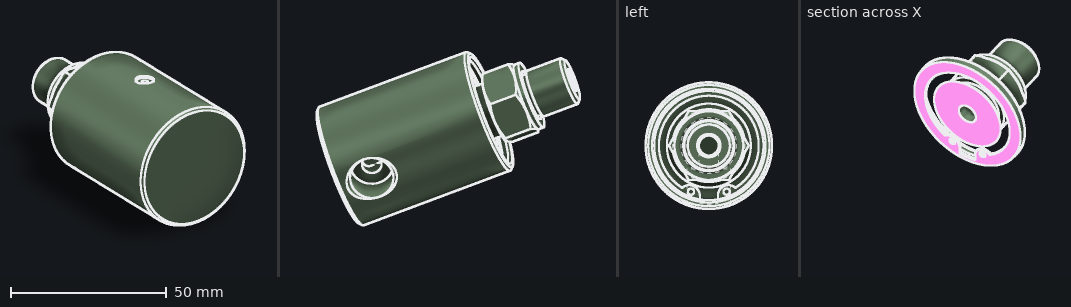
import cadquery as cq
import math

overall_length = 80.8

stub_diameter = 15.75
stub_tip_chamfer = 1.1
stub_end = 12.8
runout_diameter = 14.95
runout_end = 13.25
undercut_rim_diameter = 16.5
undercut_floor_diameter = 13.9
undercut_floor_x = 14.4
undercut_end = 15.1
undercut_end_diameter = 14.2
collar_diameter = 22.2
collar_start = 14.1
hex_start = 15.9
hex_end = 26.9
hex_across_flats = 22.2
hex_across_corners = hex_across_flats / math.cos(math.pi / 6)
hex_chamfer_angle = 30.0
hex_face_diameter = 21.8
shaft_diameter = 17.9

bore_diameter = 6.4
bore_mouth_chamfer = 0.6
bore_end = 73.5

housing_diameter = 40.7
housing_start = 28.3
housing_chamfer = 0.9

ring_inner_diameter = 32.1
ring_thickness = 1.2
ring_setback = 2.8
groove_diameter = 37.55
lug_radius = 3.4
lug_offset_y = 6.3
lug_offset_z = -16.1
lug_hole_diameter = 2.0
lug_hole_offset_y = 5.7
lug_hole_offset_z = -14.8

recess_diameter = 35.05
recess_depth = ring_setback + ring_thickness
recess_mouth_diameter = 36.5
recess_mouth_length = 1.05
boss_base_diameter = 27.0
boss_face_diameter = 23.4
boss_height = 1.6

vent_x = 52.9
vent_diameter = 6.0
vent_depth = 0.8
button_diameter = 2.0
button_height = 0.25
dome_radius = (button_diameter**2 / 4 + button_height**2) / (2 * button_height)

port_x = 69.5
port_diameter = 13.9
port_mouth_diameter = 16.5
port_depth = 12.9


def disc(diameter, start, end):
    """Cylinder on the X axis between two X positions."""
    return cq.Workplane("YZ", origin=(start, 0, 0)).circle(diameter / 2).extrude(end - start)


def cone(start_diameter, end_diameter, start, end):
    """Truncated cone on the X axis between two X positions."""
    outline = [(start, 0), (start, start_diameter / 2), (end, end_diameter / 2), (end, 0)]
    return cq.Workplane("XY").polyline(outline).close().revolve(360, (0, 0, 0), (1, 0, 0))


def make_hex():
    """Hexagon with corners on Y, its corners cut by a cone at both ends."""
    prism = (
        cq.Workplane("YZ", origin=(hex_start, 0, 0))
        .polygon(6, hex_across_corners)
        .extrude(hex_end - hex_start)
    )
    chamfer_width = (hex_across_corners - hex_face_diameter) / 2
    chamfer_length = chamfer_width * math.tan(math.radians(hex_chamfer_angle))
    envelope = disc(hex_across_corners, hex_start + chamfer_length, hex_end - chamfer_length)
    envelope = envelope.union(
        cone(hex_face_diameter, hex_across_corners, hex_start, hex_start + chamfer_length)
    )
    envelope = envelope.union(
        cone(hex_across_corners, hex_face_diameter, hex_end - chamfer_length, hex_end)
    )
    return prism.intersect(envelope)


def make_undercut():
    """Ring-shaped cut: a conical thread runout, then a round groove under the collar face."""
    outline = (
        cq.Workplane("XY")
        .moveTo(stub_end, stub_diameter / 2)
        .lineTo(runout_end, runout_diameter / 2)
        .threePointArc(
            (undercut_floor_x, undercut_floor_diameter / 2),
            (undercut_end, undercut_end_diameter / 2),
        )
        .lineTo(collar_start, undercut_rim_diameter / 2)
        .lineTo(stub_end, undercut_rim_diameter / 2)
        .close()
    )
    return outline.revolve(360, (0, 0, 0), (1, 0, 0))


def make_rotor():
    """Threaded stub, undercut, collar, hexagon and shaft running into the housing."""
    rotor = disc(stub_diameter, 0, collar_start).faces("<X").chamfer(stub_tip_chamfer)
    rotor = rotor.union(disc(collar_diameter, collar_start, hex_start))
    rotor = rotor.cut(make_undercut())
    rotor = rotor.union(make_hex())
    return rotor.union(disc(shaft_diameter, hex_end, housing_start + recess_depth))


def make_retaining_ring():
    """Internal retaining ring seated in its groove, open at the bottom between two drilled lugs."""
    front = housing_start + ring_setback
    plane = cq.Workplane("YZ", origin=(front, 0, 0))
    band = plane.circle(groove_diameter / 2).circle(ring_inner_diameter / 2).extrude(ring_thickness)
    lug_places = [(-lug_offset_y, lug_offset_z), (lug_offset_y, lug_offset_z)]
    lugs = plane.pushPoints(lug_places).circle(lug_radius).extrude(ring_thickness)
    gap_width = 2 * (lug_offset_y - lug_radius)
    gap = plane.center(0, -groove_diameter / 2).rect(gap_width, groove_diameter / 2).extrude(ring_thickness)
    hole_places = [(-lug_hole_offset_y, lug_hole_offset_z), (lug_hole_offset_y, lug_hole_offset_z)]
    holes = plane.pushPoints(hole_places).circle(lug_hole_diameter / 2).extrude(ring_thickness)
    inside_groove = disc(groove_diameter, front, front + ring_thickness)
    return band.union(lugs).intersect(inside_groove).cut(gap).cut(holes)


def make_housing():
    """Chamfered cylinder with a front recess, a conical boss in it and the retaining ring."""
    housing = disc(housing_diameter, housing_start, overall_length)
    housing = housing.faces("<X or >X").chamfer(housing_chamfer)
    floor = housing_start + recess_depth
    housing = housing.cut(disc(recess_diameter, housing_start, floor))
    mouth_end = housing_start + recess_mouth_length
    housing = housing.cut(cone(recess_mouth_diameter, recess_diameter, housing_start, mouth_end))
    groove_start = housing_start + ring_setback
    housing = housing.cut(disc(groove_diameter, groove_start, groove_start + ring_thickness))
    housing = housing.union(cone(boss_face_diameter, boss_base_diameter, floor - boss_height, floor))
    return housing.union(make_retaining_ring())


def make_vent():
    """Shallow round pocket with a low domed button left standing on its floor."""
    pocket_floor = housing_diameter / 2 - vent_depth
    pocket = (
        cq.Workplane("XY", origin=(vent_x, 0, pocket_floor))
        .circle(vent_diameter / 2)
        .extrude(2 * vent_depth)
    )
    dome = (
        cq.Workplane("XZ", origin=(vent_x, 0, pocket_floor))
        .moveTo(button_diameter / 2, 0)
        .radiusArc((0, button_height), -dome_radius)
        .lineTo(0, 0)
        .close()
        .revolve(360, (0, 0, 0), (0, 1, 0))
    )
    return pocket.cut(dome)


def make_port_countersink():
    """45 degree countersink at the mouth of the supply port."""
    mouth_radius = port_mouth_diameter / 2
    bottom = -housing_diameter / 2
    return (
        cq.Workplane("XZ", origin=(port_x, 0, 0))
        .moveTo(0, bottom)
        .lineTo(mouth_radius, bottom)
        .lineTo(0, bottom + mouth_radius)
        .close()
        .revolve(360, (0, 0, 0), (0, 1, 0))
    )


def make_flow_passage():
    """Axial bore through the rotor, joined to the supply port by a radial passage."""
    bore = disc(bore_diameter, 0, bore_end)
    mouth_diameter = bore_diameter + 2 * bore_mouth_chamfer
    bore = bore.union(cone(mouth_diameter, bore_diameter, 0, bore_mouth_chamfer))
    bottom = cq.Workplane("XY", origin=(port_x, 0, -housing_diameter / 2))
    port = bottom.circle(port_diameter / 2).extrude(port_depth)
    link = bottom.circle(bore_diameter / 2).extrude(housing_diameter / 2)
    port = port.union(make_port_countersink())
    return bore.union(port).union(link)


result = make_rotor().union(make_housing()).cut(make_vent()).cut(make_flow_passage())